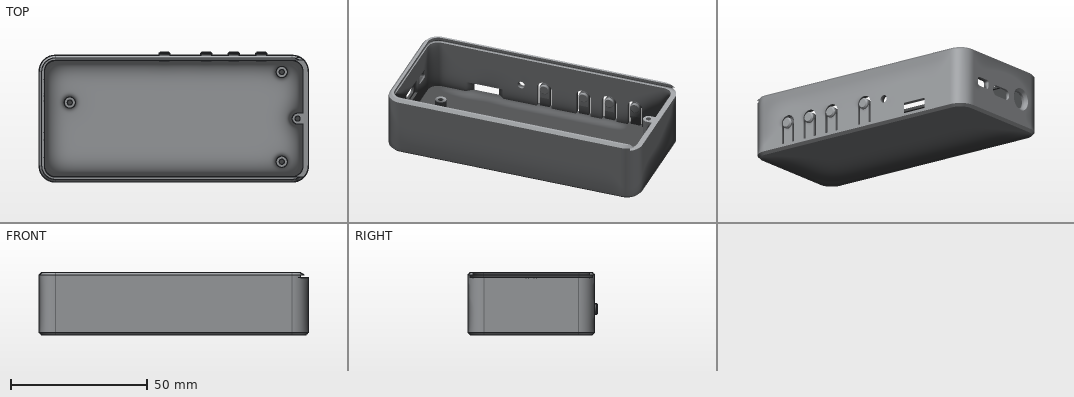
import cadquery as cq

length = 98.79
overall_width = 47.63
height = 23.0
button_protrusion = 1.1
width = overall_width - button_protrusion
corner_radius = 6.0
edge_chamfer = 1.0
wall = 2.0
floor = 2.0
cavity_length = length - 2 * wall
cavity_width = width - 2 * wall
cavity_radius = corner_radius - wall
inner_back = cavity_width / 2
outer_back = width / 2

track_floor = 21.0
lip_underside = height - edge_chamfer
lip_side_inset = 1.85
groove_depth = 1.0

card_slot_center = (11.35, 11.2)
card_slot_size = (6.1, 3.4)
card_slot_radius = 0.9
port_center = (0.7, 10.3)
port_size = (9.6, 4.0)
port_skin = 1.0
port_recess_margin = 1.0
jack_center = (-11.1, 10.9)
jack_diameter = 6.4
jack_countersink = 1.0

pinhole_x = -12.4
pinhole_z = 9.6
pinhole_diameter = 2.8
wheel_center = (-26.6, 14.5)
wheel_radius = 10.0
wheel_thickness = 4.0

button_x_positions = (-3.4, 11.9, 22.0, 32.1)
button_z = 9.5
button_diameter = 4.1
button_chamfer = 0.5
button_base_depth = 0.8
nub_diameter = 3.8
nub_chamfer = 0.3
nub_protrusion = 0.2
tongue_width = 3.8
tongue_recess = 0.2
hinge_recess = 0.65
hinge_top = 5.75
button_slot_width = 5.7
button_slot_arch_z = button_z + 0.25

post_positions = ((39.6, 17.1), (39.6, -15.8), (-38.1, 5.9))
post_diameter = 4.1
post_top = 6.8
screw_hole_diameter = 1.9
column_x = 45.4
column_diameter = 4.0


def rounded_block(size_x, size_y, radius, bottom, top):
    """Upright block with rounded vertical corners, centred on X and Y."""
    block = cq.Workplane("XY").workplane(offset=bottom).rect(size_x, size_y).extrude(top - bottom)
    return block.edges("|Z").fillet(radius)


def lid_track_layer(end_inset, side_inset, bottom, top):
    """Space swept by one layer of the lid as it slides out through the +X end."""
    layer_width = width - 2 * side_inset
    layer = rounded_block(length - 2 * end_inset, layer_width, corner_radius - end_inset, bottom, top)
    exit_path = cq.Workplane("XY", origin=(0, 0, bottom)).box(
        length, layer_width, top - bottom, centered=(False, True, False)
    )
    return layer.union(exit_path)


def make_shell():
    """Open-topped tray with chamfered outer rims and the lid track."""
    shell = rounded_block(length, width, corner_radius, 0, height)
    shell = shell.faces("<Z or >Z").chamfer(edge_chamfer)
    shell = shell.cut(rounded_block(cavity_length, cavity_width, cavity_radius, floor, track_floor))
    groove = lid_track_layer(
        wall - groove_depth, lip_side_inset - groove_depth, track_floor, lip_underside
    )
    lid_opening = lid_track_layer(wall, lip_side_inset, lip_underside, height)
    return shell.cut(groove).cut(lid_opening)


def end_wall_plane(center):
    """Workplane on the outer -X face, local x along +Y and normal pointing into the wall."""
    y, z = center
    return cq.Workplane("YZ", origin=(-length / 2, y, z))


def cut_end_openings(body):
    """Card slot, connector port with inner recess, and countersunk jack hole in the -X wall."""
    card_slot = end_wall_plane(card_slot_center).rect(*card_slot_size).extrude(wall)
    card_slot = card_slot.edges("|X").fillet(card_slot_radius)
    port = end_wall_plane(port_center).slot2D(*port_size).extrude(wall)
    recess_length = port_size[0] + 2 * port_recess_margin
    recess_height = port_size[1] + 2 * port_recess_margin
    port_recess = end_wall_plane(port_center).workplane(offset=port_skin)
    port_recess = port_recess.rect(recess_length, recess_height).extrude(wall - port_skin)
    jack_radius = jack_diameter / 2
    jack = end_wall_plane(jack_center).circle(jack_radius).extrude(wall)
    countersink = cq.Workplane(
        cq.Solid.makeCone(
            jack_radius + jack_countersink,
            jack_radius,
            jack_countersink,
            pnt=cq.Vector(-length / 2, *jack_center),
            dir=cq.Vector(1, 0, 0),
        )
    )
    return body.cut(card_slot).cut(port).cut(port_recess).cut(jack).cut(countersink)


def back_cylinder(x, z, diameter, y_start, y_end):
    """Cylinder along Y between two Y positions."""
    plane = cq.Workplane("XZ", origin=(x, y_end, z))
    return plane.circle(diameter / 2).extrude(y_end - y_start)


def cut_back_openings(body):
    """Pinhole and thumbwheel opening through the +Y wall."""
    pinhole = back_cylinder(pinhole_x, pinhole_z, pinhole_diameter, inner_back, outer_back)
    wheel = cq.Workplane("XY", origin=(*wheel_center, floor)).circle(wheel_radius).extrude(wheel_thickness)
    return body.cut(pinhole).cut(wheel)


def arched_panel(x, panel_width, arch_z):
    """Wall-thick panel rising from the floor to a round top centred at height arch_z."""
    panel = cq.Workplane("XY", origin=(x, inner_back, floor)).box(
        panel_width, wall, arch_z - floor, centered=(True, False, False)
    )
    return panel.union(back_cylinder(x, arch_z, panel_width, inner_back, outer_back))


def make_button(x):
    """Tongue tapering to a thin hinge at the floor, with a chamfered cap outside and a nub inside."""
    tongue_top = button_z + tongue_width / 2
    profile = [
        (outer_back, floor),
        (inner_back + hinge_recess, floor),
        (inner_back + tongue_recess, hinge_top),
        (inner_back + tongue_recess, tongue_top),
        (outer_back, tongue_top),
    ]
    side = cq.Workplane("YZ", origin=(x, 0, 0)).polyline(profile).close()
    tongue = side.extrude(tongue_width / 2, both=True)
    tongue = tongue.intersect(arched_panel(x, tongue_width, button_z))
    cap_base = inner_back + button_base_depth
    cap = back_cylinder(x, button_z, button_diameter, cap_base, outer_back + button_protrusion)
    cap = cap.faces(">Y").chamfer(button_chamfer)
    nub = back_cylinder(x, button_z, nub_diameter, inner_back - nub_protrusion, outer_back)
    nub = nub.faces("<Y").chamfer(nub_chamfer)
    return tongue.union(cap).union(nub)


def add_buttons(body):
    """Arched slots in the +Y wall, each filled by a flexing button."""
    for x in button_x_positions:
        slot = arched_panel(x, button_slot_width, button_slot_arch_z)
        body = body.cut(slot).union(make_button(x))
    return body


def upright_cylinder(x, y, diameter, top):
    """Cylinder standing on the floor."""
    return cq.Workplane("XY", origin=(x, y, floor)).circle(diameter / 2).extrude(top - floor)


def add_posts(body):
    """Short screw posts on the floor and a full-height lid screw column at the +X wall."""
    for x, y in post_positions:
        body = body.union(upright_cylinder(x, y, post_diameter, post_top))
        body = body.cut(upright_cylinder(x, y, screw_hole_diameter, post_top))
    web_length = length / 2 - wall / 2 - column_x
    column_web = cq.Workplane("XY", origin=(column_x, 0, floor)).box(
        web_length, column_diameter, track_floor - floor, centered=(False, True, False)
    )
    column = upright_cylinder(column_x, 0, column_diameter, track_floor).union(column_web)
    body = body.union(column)
    return body.cut(upright_cylinder(column_x, 0, screw_hole_diameter, track_floor))


result = make_shell()
result = cut_end_openings(result)
result = cut_back_openings(result)
result = add_buttons(result)
result = add_posts(result)